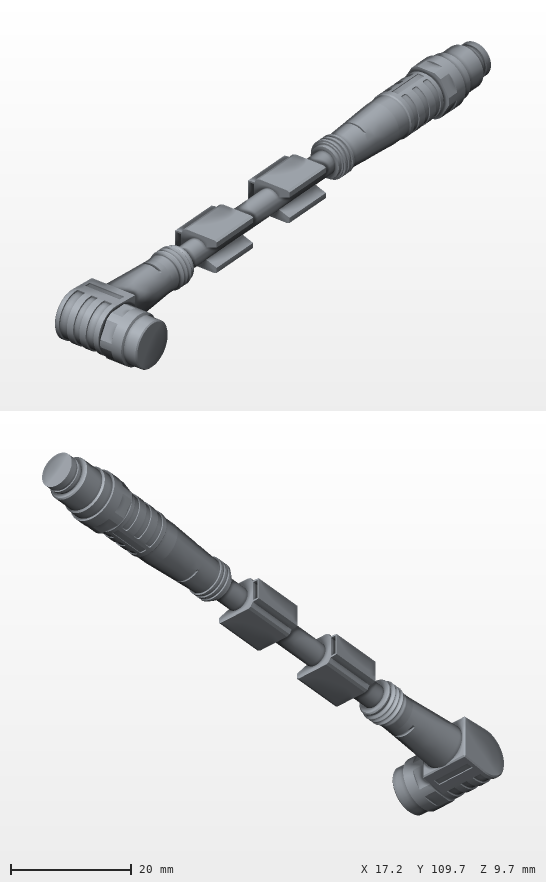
import cadquery as cq
import math


CABLE_DIA = 4.4
CABLE_OVERLAP = 1.1
RING_DIA = 9.7
TOTAL_LENGTH = 109.7
PLUG_TIP_Y = TOTAL_LENGTH - RING_DIA / 2
OVERSIZE = 21.9

TIP_R = 6.5 / 2
TIP_GROOVE_R = 5.9 / 2
TIP_GROOVE_START_Y = 103.7
TIP_GROOVE_END_Y = 103.1
TIP_NECK_Y = 102.6
COLLAR_Y = 102.0
BODY_R = 8.0 / 2
SHOULDER_Y = 98.0
SHOULDER_R = 8.8 / 2
GRIP_R = 8.5 / 2
PLUG_RING_Y = 95.8
PLUG_FLATS_Y = 93.6
PLUG_NUT_END_Y = 91.3
GRIP_START_Y = 90.6
NUT_GAP_R = 3.7
GRIP_END_Y = 81.7
TAPER_START_Y = 78.7
TAPER_END_Y = 67.4
TAPER_END_R = 3.3
PLUG_END_Y = 63.5
EDGE_BREAK = 0.2

POCKET_COUNT = 3
POCKET_WIDTH = 1.3
POCKET_PITCH = 3.0
POCKET_FIRST_Y = 89.2
POCKET_END_X = 1.3
POCKET_CORNER_R = 0.3
MARKER_WIDTH = 1.3
MARKER_START_Y = 90.0
MARKER_END_Y = 82.7
MARKER_DEPTH = 0.2

NUT_FLAT_DISTANCE = 4.5
NUT_FLAT_COUNT = 6

RIB_COUNT = 3
RIB_R = 7.2 / 2
RIB_PITCH = 1.0
PLUG_RIB_WIDTH = 0.4
PLUG_FIRST_RIB_Y = 64.7
PLUG_END_R = 5.9 / 2
ELBOW_FIRST_RIB_Y = 20.3
ELBOW_RIB_ROOT_R = 3.1
ELBOW_COLLAR_Y = 23.1
ELBOW_SLEEVE_END_Y = 23.6
ELBOW_TAPER_Y = 17.4
NOTCH_FLOOR_Z = 2.6
PLUG_NOTCH_Y = 71.5
PLUG_NOTCH_WIDTH = 0.3
ELBOW_NOTCH_Y = 15.8
ELBOW_NOTCH_WIDTH = 0.5

HEAD_R = 4.6
HEAD_HALF_WIDTH = 4.6
HEAD_BACK_Y = 5.7
HEAD_BACK_HALF_HEIGHT = 4.2
SLEEVE_BACK_R = 4.1
HEAD_GROOVE_DEPTH = 0.3
HEAD_GROOVE_START_Y = 0.5
HEAD_CENTER_GROOVE_HALF = 0.7
HEAD_SIDE_GROOVE_IN = 2.0
HEAD_SIDE_GROOVE_OUT = 3.6
HEAD_SLOT_WIDTH = 1.3
HEAD_SLOT_OFFSET = 2.9

SOCKET_NECK_R = 5.9 / 2
SOCKET_R = 8.8 / 2
SOCKET_NUT_X = 5.2
SOCKET_FLATS_END_X = 7.5
SOCKET_RING_END_X = 9.8
SOCKET_END_X = 12.4

CLIP_LENGTH = 10.0
CLIP_CENTERS_Y = (53.5, 33.6)
CLIP_LEFT_X = -4.6
CLIP_FACE_HALF_HEIGHT = 2.1
CLIP_LIP_START_X = -4.0
CLIP_LIP_END_X = -3.3
CLIP_LIP_Z = 2.2
CLIP_SLOPE_END_X = -2.9
CLIP_TOP_LEFT_X = -2.3
CLIP_TOP_RIGHT_X = 3.6
CLIP_RIGHT_X = 4.1
CLIP_HALF_HEIGHT = 3.2
CLIP_EDGE_Z = 3.0
CLIP_JAW_Z = 2.0
CLIP_MOUTH_X = 1.6
CLIP_MOUTH_HALF_HEIGHT = 1.1
LABEL_CHANNEL_LEFT_X = -4.4
LABEL_CHANNEL_RIGHT_X = -3.4
LABEL_CHANNEL_HEIGHT = 3.7


def cylinder_y(radius, start_y, end_y):
    """Cylinder about the cable axis between two Y stations."""
    return cq.Workplane("XZ", origin=(0, end_y, 0)).circle(radius).extrude(end_y - start_y)


def revolve_y(outline):
    """Solid of revolution about the cable axis from (radius, y) points."""
    return cq.Workplane("XY").polyline(outline).close().revolve(360, (0, 0, 0), (0, 1, 0))


def mirrored_z(shape):
    """Shape together with its mirror image below the XY plane."""
    return shape.union(shape.mirror("XY"))


def nut_flat_cutter(length):
    """Material outside a hexagon, extruded along local Z, with two flats across local Y."""
    across_corners = 2 * NUT_FLAT_DISTANCE / math.cos(math.pi / NUT_FLAT_COUNT)
    block = cq.Workplane("XY").circle(OVERSIZE).extrude(length)
    return block.cut(cq.Workplane("XY").polygon(NUT_FLAT_COUNT, across_corners).extrude(length))


def notch(center_y, width):
    """Pair of cross notches in the top and bottom of a sleeve."""
    height = OVERSIZE - NOTCH_FLOOR_Z
    upper = cq.Workplane("XY", origin=(0, center_y, NOTCH_FLOOR_Z)).rect(OVERSIZE, width).extrude(height)
    return mirrored_z(upper)


def make_plug():
    ring_r = RING_DIA / 2
    plug = revolve_y([
        (0, PLUG_TIP_Y),
        (TIP_R, PLUG_TIP_Y),
        (TIP_R, TIP_GROOVE_START_Y),
        (TIP_GROOVE_R, TIP_GROOVE_START_Y),
        (TIP_GROOVE_R, TIP_GROOVE_END_Y),
        (TIP_R, TIP_GROOVE_END_Y),
        (TIP_R, TIP_NECK_Y),
        (TIP_R - EDGE_BREAK, TIP_NECK_Y),
        (TIP_R - EDGE_BREAK, COLLAR_Y),
        (BODY_R - EDGE_BREAK, COLLAR_Y),
        (BODY_R, COLLAR_Y - EDGE_BREAK),
        (BODY_R, SHOULDER_Y),
        (SHOULDER_R, SHOULDER_Y - EDGE_BREAK),
        (SHOULDER_R, PLUG_RING_Y),
        (ring_r, PLUG_RING_Y),
        (ring_r, PLUG_NUT_END_Y),
        (NUT_GAP_R, PLUG_NUT_END_Y),
        (NUT_GAP_R, GRIP_START_Y),
        (GRIP_R, GRIP_START_Y),
        (GRIP_R, GRIP_END_Y),
        (BODY_R, GRIP_END_Y - EDGE_BREAK),
        (BODY_R, TAPER_START_Y),
        (TAPER_END_R, TAPER_END_Y),
        (TAPER_END_R, PLUG_FIRST_RIB_Y - RIB_PITCH / 2),
        (PLUG_END_R, PLUG_FIRST_RIB_Y - RIB_PITCH / 2),
        (PLUG_END_R, PLUG_END_Y),
        (0, PLUG_END_Y),
    ])
    for i in range(RIB_COUNT):
        rib_y = PLUG_FIRST_RIB_Y + i * RIB_PITCH
        plug = plug.union(cylinder_y(RIB_R, rib_y - PLUG_RIB_WIDTH / 2, rib_y + PLUG_RIB_WIDTH / 2))

    flats = nut_flat_cutter(PLUG_FLATS_Y - PLUG_NUT_END_Y)
    flats = flats.rotate((0, 0, 0), (1, 0, 0), 90).translate((0, PLUG_FLATS_Y, 0))
    plug = plug.cut(flats)
    plug = plug.cut(notch(PLUG_NOTCH_Y, PLUG_NOTCH_WIDTH))
    return plug.cut(grip_pockets()).cut(marker_recess())


def grip_pockets():
    """Shallow side pockets that stop short of the top and bottom centre lines."""
    shell = cylinder_y(OVERSIZE, GRIP_END_Y, GRIP_START_Y)
    shell = shell.cut(cylinder_y(BODY_R, GRIP_END_Y, GRIP_START_Y))
    length = OVERSIZE - POCKET_END_X
    windows = cq.Workplane("XY")
    for i in range(POCKET_COUNT):
        for side in (-1, 1):
            center = (side * (POCKET_END_X + length / 2), POCKET_FIRST_Y - i * POCKET_PITCH, 0)
            window = cq.Workplane("XY").box(length, POCKET_WIDTH, OVERSIZE)
            windows = windows.add(window.edges("|Z").fillet(POCKET_CORNER_R).translate(center))
    return windows.combine().intersect(shell)


def marker_recess():
    """Flat-bottomed slot between the grip pockets, above and below."""
    length = MARKER_START_Y - MARKER_END_Y
    origin = (0, (MARKER_START_Y + MARKER_END_Y) / 2, GRIP_R - MARKER_DEPTH)
    return mirrored_z(cq.Workplane("XY", origin=origin).rect(MARKER_WIDTH, length).extrude(OVERSIZE))


def make_elbow_sleeve():
    first_root_y = ELBOW_FIRST_RIB_Y - RIB_PITCH / 2
    wave = [
        (TAPER_END_R, ELBOW_TAPER_Y + RIB_PITCH / 2),
        (TAPER_END_R, first_root_y - RIB_PITCH),
        (TAPER_END_R, first_root_y - RIB_PITCH / 2),
        (ELBOW_RIB_ROOT_R, first_root_y),
    ]
    for i in range(RIB_COUNT):
        rib_y = ELBOW_FIRST_RIB_Y + i * RIB_PITCH
        wave += [(RIB_R, rib_y), (ELBOW_RIB_ROOT_R, rib_y + RIB_PITCH / 2)]
    wave.append((TAPER_END_R, ELBOW_COLLAR_Y))
    sleeve = (
        cq.Workplane("XY")
        .lineTo(SLEEVE_BACK_R, 0)
        .lineTo(SLEEVE_BACK_R, HEAD_BACK_Y)
        .lineTo(TAPER_END_R, ELBOW_TAPER_Y)
        .spline(wave, tangents=[(0, 1), (0, 1)], includeCurrent=True)
        .lineTo(TAPER_END_R, ELBOW_SLEEVE_END_Y - EDGE_BREAK)
        .lineTo(TAPER_END_R - EDGE_BREAK, ELBOW_SLEEVE_END_Y)
        .lineTo(0, ELBOW_SLEEVE_END_Y)
        .close()
        .revolve(360, (0, 0, 0), (0, 1, 0))
    )
    return sleeve.cut(notch(ELBOW_NOTCH_Y, ELBOW_NOTCH_WIDTH))


def make_elbow_head():
    corner_distance = math.hypot(HEAD_BACK_Y, HEAD_BACK_HALF_HEIGHT)
    tangent = math.atan2(HEAD_BACK_HALF_HEIGHT, HEAD_BACK_Y) + math.acos(HEAD_R / corner_distance)
    tangent_y = HEAD_R * math.cos(tangent)
    tangent_z = HEAD_R * math.sin(tangent)
    width = 2 * HEAD_HALF_WIDTH
    head = (
        cq.Workplane("YZ", origin=(-HEAD_HALF_WIDTH, 0, 0))
        .moveTo(HEAD_BACK_Y, -HEAD_BACK_HALF_HEIGHT)
        .lineTo(HEAD_BACK_Y, HEAD_BACK_HALF_HEIGHT)
        .lineTo(tangent_y, tangent_z)
        .threePointArc((-HEAD_R, 0), (tangent_y, -tangent_z))
        .close()
        .extrude(width)
    )
    head = head.faces("<X or >Y").edges().chamfer(EDGE_BREAK)

    groove_spans = (
        (-HEAD_SIDE_GROOVE_OUT, -HEAD_SIDE_GROOVE_IN),
        (-HEAD_CENTER_GROOVE_HALF, HEAD_CENTER_GROOVE_HALF),
        (HEAD_SIDE_GROOVE_IN, HEAD_SIDE_GROOVE_OUT),
    )
    for start_x, end_x in groove_spans:
        plane = cq.Workplane("YZ", origin=(start_x, 0, 0))
        groove_width = end_x - start_x
        core = plane.circle(HEAD_R - HEAD_GROOVE_DEPTH).extrude(groove_width)
        groove = (
            plane
            .center(HEAD_GROOVE_START_Y - OVERSIZE / 2, 0)
            .rect(OVERSIZE, OVERSIZE)
            .extrude(groove_width)
        )
        head = head.cut(groove.cut(core))

    slope = cq.Plane(origin=(0, 0, 0), xDir=(1, 0, 0), normal=(0, math.cos(tangent), math.sin(tangent)))
    slot = (
        cq.Workplane(slope)
        .workplane(offset=HEAD_R - MARKER_DEPTH)
        .center(0, HEAD_SLOT_OFFSET)
        .rect(2 * HEAD_SIDE_GROOVE_OUT, HEAD_SLOT_WIDTH)
        .extrude(OVERSIZE)
    )
    return head.cut(mirrored_z(slot))


def make_socket():
    ring_r = RING_DIA / 2
    outline = [
        (0, 0),
        (0, SOCKET_NECK_R),
        (SOCKET_NUT_X, SOCKET_NECK_R),
        (SOCKET_NUT_X, ring_r),
        (SOCKET_RING_END_X - EDGE_BREAK, ring_r),
        (SOCKET_RING_END_X, SOCKET_R),
        (SOCKET_END_X - EDGE_BREAK, SOCKET_R),
        (SOCKET_END_X, SOCKET_R - EDGE_BREAK),
        (SOCKET_END_X, 0),
    ]
    socket = cq.Workplane("XY").polyline(outline).close().revolve(360, (0, 0, 0), (1, 0, 0))
    flats = nut_flat_cutter(SOCKET_FLATS_END_X - SOCKET_NUT_X)
    flats = flats.rotate((0, 0, 0), (0, 1, 0), 90).rotate((0, 0, 0), (1, 0, 0), 90)
    return socket.cut(flats.translate((SOCKET_NUT_X, 0, 0)))


def make_clip(center_y):
    """Marker clip on the cable, with its mouth towards +X and a label channel along its -X side."""
    upper = [
        (CLIP_LEFT_X, CLIP_FACE_HALF_HEIGHT),
        (CLIP_LIP_START_X, CLIP_LIP_Z),
        (CLIP_LIP_END_X, CLIP_LIP_Z),
        (CLIP_SLOPE_END_X, CLIP_EDGE_Z),
        (CLIP_TOP_LEFT_X, CLIP_HALF_HEIGHT),
        (CLIP_TOP_RIGHT_X, CLIP_HALF_HEIGHT),
        (CLIP_RIGHT_X, CLIP_EDGE_Z),
        (CLIP_RIGHT_X, CLIP_JAW_Z),
        (CLIP_MOUTH_X, CLIP_MOUTH_HALF_HEIGHT),
    ]
    lower = [(x, -z) for x, z in reversed(upper)]
    plane = cq.Workplane("XZ", origin=(0, center_y + CLIP_LENGTH / 2, 0))
    body = plane.polyline(upper + lower).close().extrude(CLIP_LENGTH)
    channel_width = LABEL_CHANNEL_RIGHT_X - LABEL_CHANNEL_LEFT_X
    channel_x = (LABEL_CHANNEL_RIGHT_X + LABEL_CHANNEL_LEFT_X) / 2
    channel = plane.center(channel_x, 0).rect(channel_width, LABEL_CHANNEL_HEIGHT).extrude(CLIP_LENGTH)
    return body.cut(channel)


result = cylinder_y(CABLE_DIA / 2, ELBOW_SLEEVE_END_Y - CABLE_OVERLAP, PLUG_END_Y + CABLE_OVERLAP)
result = result.union(make_plug())
result = result.union(make_elbow_sleeve())
result = result.union(make_elbow_head())
result = result.union(make_socket())
for clip_y in CLIP_CENTERS_Y:
    result = result.union(make_clip(clip_y))